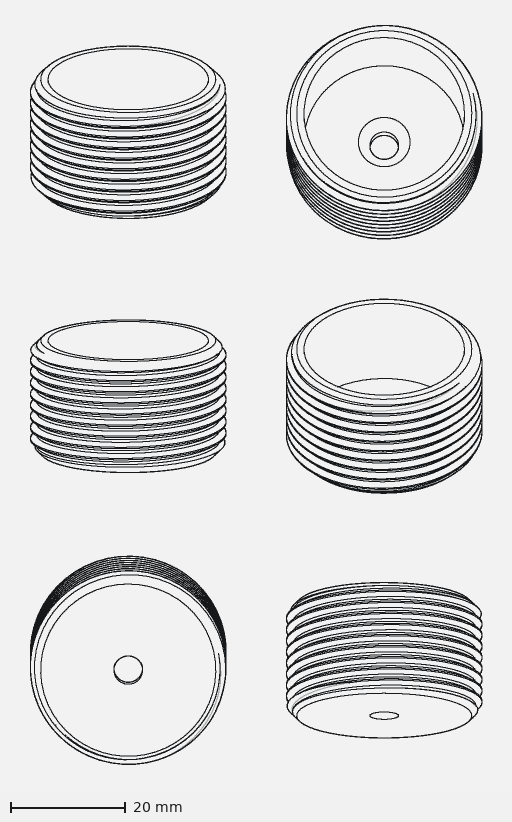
import cadquery as cq
import math

height = 20.0
crest_diameter = 34.18
end_diameter = 30.55

pitch = height / 10
flank_half_angle = 30.0
crest_flat = pitch / 8
root_flat = pitch / 4
flank_rise = (pitch - crest_flat - root_flat) / 2
thread_depth = flank_rise / math.tan(math.radians(flank_half_angle))
root_overlap = 0.17
seam_angle = 100.0

bore_diameter = 28.0
floor_thickness = 2 * pitch
hole_diameter = 5.0
countersink_diameter = 9.02

core_overrun = 6.85
trim_margin = 0.35

crest_radius = crest_diameter / 2
root_radius = crest_radius - thread_depth
chamfer = (crest_diameter - end_diameter) / 2


def make_thread_helix(radius, start):
    """Helical edge that overruns both ends of the body by about one pitch."""
    return cq.Wire.makeHelix(pitch, height + 2 * pitch, radius, cq.Vector(0, 0, start)).Edges()[0]


def make_thread_ridge():
    """Solid trapezoidal ridge bounded by four ruled helical faces and two end caps."""
    crest_start = -pitch
    inner_radius = root_radius - root_overlap
    inner_rise = flank_rise + root_overlap * math.tan(math.radians(flank_half_angle))
    helices = [
        make_thread_helix(inner_radius, crest_start - inner_rise),
        make_thread_helix(crest_radius, crest_start),
        make_thread_helix(crest_radius, crest_start + crest_flat),
        make_thread_helix(inner_radius, crest_start + crest_flat + inner_rise),
    ]
    next_helices = helices[1:] + helices[:1]
    sides = [cq.Face.makeRuledSurface(edge, other) for edge, other in zip(helices, next_helices)]
    caps = []
    for position in (0, 1):
        corners = [edge.positionAt(position) for edge in helices]
        caps.append(cq.Face.makeFromWires(cq.Wire.makePolygon(corners, close=True)))
    return cq.Workplane(obj=cq.Solid.makeSolid(cq.Shell.makeShell(sides + caps)))


def make_threaded_body():
    """Core plus ridge, trimmed to length and chamfered at both ends."""
    core = (
        cq.Workplane("XY")
        .workplane(offset=-core_overrun)
        .circle(root_radius)
        .extrude(height + 2 * core_overrun)
        .rotate((0, 0, 0), (0, 0, 1), seam_angle)
    )
    envelope = (
        cq.Workplane("XY")
        .circle(crest_radius + trim_margin)
        .extrude(height)
        .edges("%CIRCLE")
        .chamfer(chamfer + trim_margin)
        .rotate((0, 0, 0), (0, 0, 1), seam_angle)
    )
    return core.union(make_thread_ridge(), clean=False).intersect(envelope, clean=False)


def make_interior():
    """Volume of the top bore, the countersink in the floor and the through hole."""
    hole_radius = hole_diameter / 2
    bore_radius = bore_diameter / 2
    countersink_radius = countersink_diameter / 2
    countersink_depth = countersink_radius - hole_radius
    half_section = cq.Workplane("XZ").polyline([
        (0, 0),
        (hole_radius, 0),
        (hole_radius, floor_thickness - countersink_depth),
        (countersink_radius, floor_thickness),
        (bore_radius, floor_thickness),
        (bore_radius, height),
        (0, height),
    ]).close()
    return half_section.revolve(360, (0, 0, 0), (0, 1, 0))


result = make_threaded_body().cut(make_interior(), clean=False)